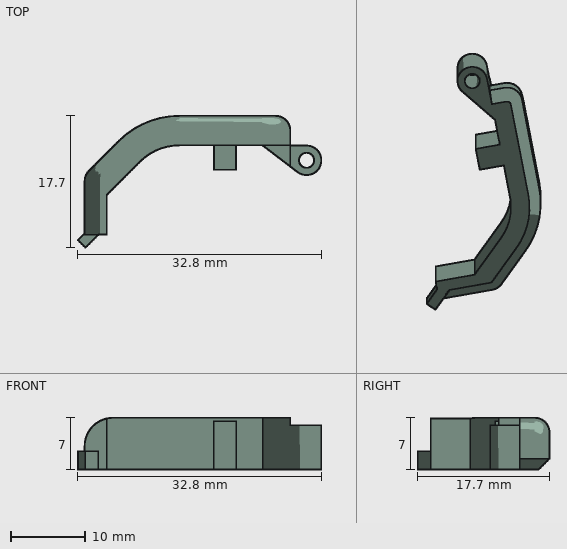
import cadquery as cq
import math

HEIGHT = 7.0
RAIL_LENGTH = 27.7
RAIL_DEPTH = 16.0
DIAGONAL_START = 8.0
WALL = 4.0
LEG_WIDTH = 3.0
BEND_INNER_RADIUS = 7.5
BEND_OUTER_RADIUS = BEND_INNER_RADIUS + WALL
CORNER_RADIUS = 2.0
BACK_ROUNDING = 2.0
END_ROUNDING = 3.85
BOTTOM_CHAMFER = 1.5

LUG_HEIGHT = 6.0
LUG_RADIUS = 2.0
LUG_HOLE_DIAMETER = 2.0
LUG_X = 29.87
WEB_START_X = 23.95

POST_X = 17.4
POST_WIDTH = 3.0
POST_DEPTH = 3.3
POST_HEIGHT = 6.5

TAB_TIP_X = -0.89
TAB_TIP_Y = -0.73
TAB_WIDTH = 1.44
TAB_LENGTH = 3.5
TAB_HEIGHT = 2.5
TAB_ANGLE = 45.0

INNER_Y = RAIL_DEPTH - WALL
LUG_Y = INNER_Y - LUG_RADIUS
BACK_CORNER_X = RAIL_DEPTH - DIAGONAL_START
INNER_DIAGONAL_OFFSET = DIAGONAL_START - WALL * math.sqrt(2)


TOLERANCE = 0.01


def near(workplane, kind, x, y, z):
    """Return the edge of the given kind whose middle is nearest the point."""
    point = cq.Vector(x, y, z)
    return min(workplane.edges(kind).vals(), key=lambda edge: (edge.Center() - point).Length)


def round_outer_edges(block):
    """Round the upright corners and the top edges in one go, so that they blend at the corners."""
    rounding = cq.occ_impl.shapes.BRepFilletAPI_MakeFillet(block.val().wrapped)
    for corner_x, corner_y in [(0, DIAGONAL_START), (RAIL_LENGTH, RAIL_DEPTH)]:
        corner = near(block, "|Z", corner_x, corner_y, HEIGHT / 2)
        rounding.Add(CORNER_RADIUS, corner.wrapped)
    for end_x in [0, RAIL_LENGTH]:
        rounding.Add(END_ROUNDING, near(block, "|Y", end_x, DIAGONAL_START, HEIGHT).wrapped)
    rounding.Add(BACK_ROUNDING, near(block, "|X", RAIL_LENGTH, RAIL_DEPTH, HEIGHT).wrapped)
    return cq.Workplane(cq.Shape.cast(rounding.Shape()))


def outer_block():
    """Solid bounded by the rail's outside faces, with its edges rounded and chamfered."""
    block = (
        cq.Workplane("XY")
        .polyline(
            [
                (0, 0),
                (0, DIAGONAL_START),
                (BACK_CORNER_X, RAIL_DEPTH),
                (RAIL_LENGTH, RAIL_DEPTH),
                (RAIL_LENGTH, 0),
            ]
        )
        .close()
        .extrude(HEIGHT)
    )
    bend = near(block, "|Z", BACK_CORNER_X, RAIL_DEPTH, HEIGHT / 2)
    block = block.newObject([bend]).fillet(BEND_OUTER_RADIUS)

    block = round_outer_edges(block)
    outline = block.faces("<Z").edges().vals()
    chamfered = [edge for edge in outline if edge.Center().y > TOLERANCE]
    return block.newObject(chamfered).chamfer(BOTTOM_CHAMFER)


def inner_space():
    """Space enclosed by the leg, the 45 degree run and the back wall, open at the right end."""
    space = (
        cq.Workplane("XY")
        .polyline(
            [
                (LEG_WIDTH, 0),
                (LEG_WIDTH, LEG_WIDTH + INNER_DIAGONAL_OFFSET),
                (INNER_Y - INNER_DIAGONAL_OFFSET, INNER_Y),
                (RAIL_LENGTH, INNER_Y),
                (RAIL_LENGTH, 0),
            ]
        )
        .close()
        .extrude(HEIGHT)
    )
    bend = near(space, "|Z", INNER_Y - INNER_DIAGONAL_OFFSET, INNER_Y, HEIGHT / 2)
    return space.newObject([bend]).fillet(BEND_INNER_RADIUS)


def lug():
    """Web below the right end of the back wall, running tangentially into the pin lug."""
    reach_x = LUG_X - WEB_START_X
    web_angle = 2 * math.atan2(LUG_RADIUS, reach_x)
    tangent_point = (
        WEB_START_X + reach_x * math.cos(web_angle),
        INNER_Y - reach_x * math.sin(web_angle),
    )
    body = (
        cq.Workplane("XY")
        .moveTo(WEB_START_X, INNER_Y)
        .lineTo(*tangent_point)
        .threePointArc((LUG_X + LUG_RADIUS, LUG_Y), (LUG_X, INNER_Y))
        .close()
        .extrude(HEIGHT)
    )
    step = (
        cq.Workplane("XY", origin=(RAIL_LENGTH, 0, LUG_HEIGHT))
        .rect(RAIL_LENGTH, RAIL_DEPTH, centered=False)
        .extrude(HEIGHT - LUG_HEIGHT)
    )
    hole = cq.Workplane("XY").center(LUG_X, LUG_Y).circle(LUG_HOLE_DIAMETER / 2).extrude(HEIGHT)
    return body.cut(step).cut(hole)


def post():
    """Rectangular post on the inner side of the back wall."""
    return (
        cq.Workplane("XY", origin=(POST_X, INNER_Y - POST_DEPTH, 0))
        .rect(POST_WIDTH, POST_DEPTH, centered=False)
        .extrude(POST_HEIGHT)
    )


def tab():
    """Slanted tab that grows out of the leg's open end."""
    return (
        cq.Workplane("XY")
        .rect(TAB_LENGTH, TAB_WIDTH, centered=False)
        .extrude(TAB_HEIGHT)
        .translate((0, -TAB_WIDTH, 0))
        .rotate((0, 0, 0), (0, 0, 1), TAB_ANGLE)
        .translate((TAB_TIP_X, TAB_TIP_Y, 0))
    )


rail = outer_block().cut(inner_space())
result = rail.union(lug()).union(post()).union(tab())